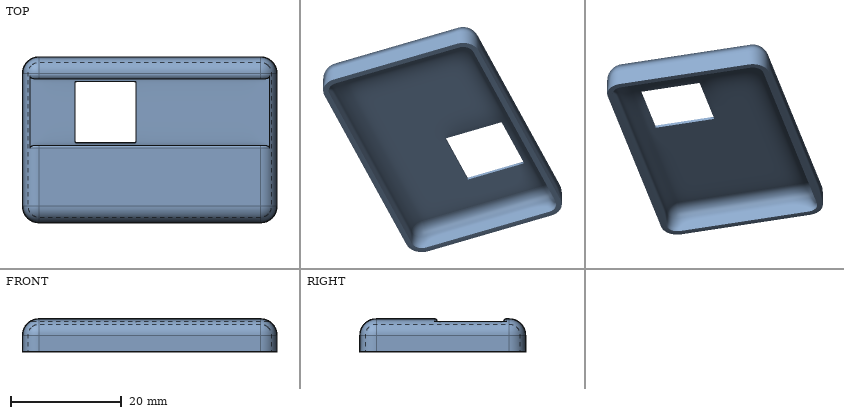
import cadquery as cq

LENGTH = 46.0
WIDTH = 30.0
HEIGHT = 6.0
OUTER_RADIUS = 3.0
WALL = 1.0

BAND_CENTER_Y = 5.0
BAND_FLOOR_WIDTH = 12.0
BAND_DEPTH = 0.5
BAND_EDGE_RADIUS = 0.5
BAND_FLOOR_Z = HEIGHT - BAND_DEPTH

WINDOW_SIZE = 11.0
WINDOW_CENTER_X = -8.0
WINDOW_CORNER_RADIUS = 0.2


def box_on(base_z, length, width, height, center_y=0.0):
    """Box standing on base_z, centered on X = 0 and Y = center_y."""
    return (
        cq.Workplane("XY", origin=(0, center_y, base_z))
        .box(length, width, height, centered=(True, True, False))
    )


def rounded_block(length, width, height, radius):
    """Block on Z = 0 with its upright and top edges rounded by one radius."""
    block = box_on(0, length, width, height)
    return block.edges("|Z").fillet(radius).faces(">Z").edges().fillet(radius)


def cut_band(body):
    """Cut the band with convex rounded long edges.

    A trench is first cut deeper than the band so that the full edge radius
    fits on its walls, then everything below the band floor is restored.
    """
    trench_depth = BAND_DEPTH + BAND_EDGE_RADIUS
    trench_floor_z = HEIGHT - trench_depth
    trench = box_on(trench_floor_z, LENGTH, BAND_FLOOR_WIDTH, trench_depth, BAND_CENTER_Y)

    rim_zone_width = BAND_FLOOR_WIDTH + BAND_EDGE_RADIUS
    rim_zone = cq.selectors.BoxSelector(
        (-LENGTH / 2, BAND_CENTER_Y - rim_zone_width / 2, trench_floor_z + BAND_EDGE_RADIUS / 2),
        (LENGTH / 2, BAND_CENTER_Y + rim_zone_width / 2, HEIGHT + BAND_EDGE_RADIUS / 2),
    )
    trenched = body.cut(trench).edges(rim_zone).fillet(BAND_EDGE_RADIUS)
    below_floor = body.intersect(box_on(0, LENGTH, WIDTH, BAND_FLOOR_Z))
    return trenched.union(below_floor)


def cavity():
    """Hollow open at the bottom, one wall thickness inside the outer block."""
    return rounded_block(LENGTH - 2 * WALL, WIDTH - 2 * WALL, HEIGHT - WALL, OUTER_RADIUS - WALL)


def window():
    """Square opening through the top."""
    return (
        cq.Workplane("XY")
        .center(WINDOW_CENTER_X, BAND_CENTER_Y)
        .rect(WINDOW_SIZE, WINDOW_SIZE)
        .extrude(HEIGHT)
        .edges("|Z")
        .fillet(WINDOW_CORNER_RADIUS)
    )


outer_block = rounded_block(LENGTH, WIDTH, HEIGHT, OUTER_RADIUS)
result = cut_band(outer_block).cut(cavity()).cut(window())